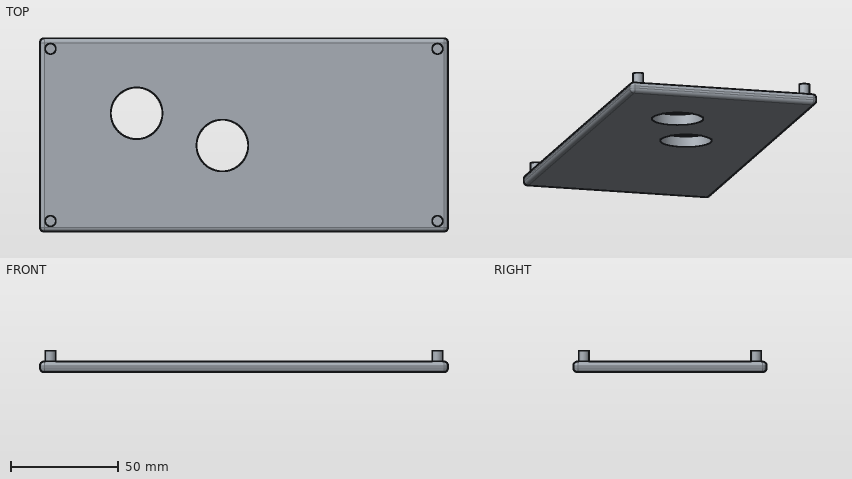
import cadquery as cq

plate_length = 190.0
plate_width = 90.0
total_height = 10.0
plate_thickness = total_height / 2
side_flat_height = 1.0
edge_radius = (plate_thickness - side_flat_height) / 2

pin_diameter = 5.0
pin_inset = 5.0

hole_diameter = 24.0
hole_centres = [(-50.0, 10.0), (-10.0, -5.0)]


def rounded_plate():
    """Flat plate with every outer edge rounded."""
    plate = cq.Workplane("XY").box(
        plate_length, plate_width, plate_thickness, centered=(True, True, False)
    )
    return plate.edges().fillet(edge_radius)


def corner_pins():
    """Four pins that start at the plate's mid-thickness and rise to full height."""
    pin_base = plate_thickness / 2
    return (
        cq.Workplane("XY")
        .workplane(offset=pin_base)
        .rect(plate_length - 2 * pin_inset, plate_width - 2 * pin_inset, forConstruction=True)
        .vertices()
        .circle(pin_diameter / 2)
        .extrude(total_height - pin_base)
    )


def through_holes():
    """Round cutters that pass through the plate."""
    return (
        cq.Workplane("XY")
        .pushPoints(hole_centres)
        .circle(hole_diameter / 2)
        .extrude(plate_thickness)
    )


result = rounded_plate().union(corner_pins()).cut(through_holes())